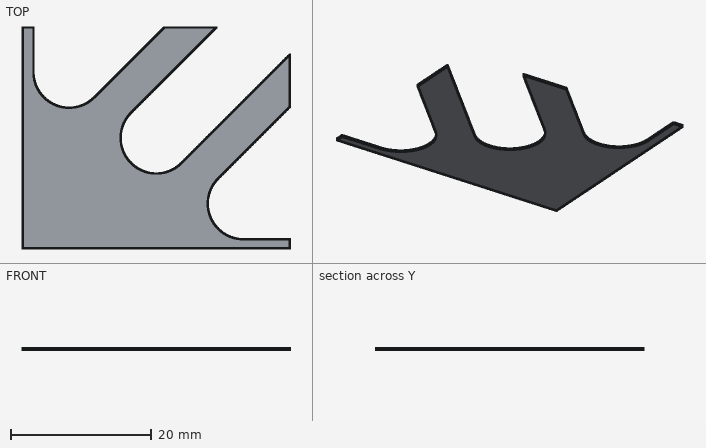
import cadquery as cq
import math

length = 38.1
width = 31.5
thickness = 0.25

opening_radius = 5.05
pitch_x = 12.42
pitch_y = 9.37
middle_center = (length / 2, width / 2)
upper_center = (middle_center[0] - pitch_x, middle_center[1] + pitch_y)
lower_center = (middle_center[0] + pitch_x, middle_center[1] - pitch_y)

along_x = 0
diagonal = 45
along_y = 90

reach = length + width


def shifted(point, distance, angle):
    """Move a point by a distance in the direction of an angle in degrees."""
    radians = math.radians(angle)
    return (point[0] + distance * math.cos(radians), point[1] + distance * math.sin(radians))


def opening(center, right_wall_angle, left_wall_angle):
    """Cutter with a round bottom and two tangent walls running outward."""
    right_start = shifted(center, opening_radius, right_wall_angle - 90)
    left_start = shifted(center, opening_radius, left_wall_angle + 90)
    middle_angle = (right_wall_angle + left_wall_angle) / 2
    bottom = shifted(center, opening_radius, middle_angle + 180)
    return (
        cq.Workplane("XY")
        .moveTo(*right_start)
        .lineTo(*shifted(right_start, reach, right_wall_angle))
        .lineTo(*shifted(left_start, reach, left_wall_angle))
        .lineTo(*left_start)
        .threePointArc(bottom, right_start)
        .close()
        .extrude(thickness)
    )


result = cq.Workplane("XY").box(length, width, thickness, centered=False)

result = result.cut(opening(upper_center, diagonal, along_y))
result = result.cut(opening(middle_center, diagonal, diagonal))
result = result.cut(opening(lower_center, along_x, diagonal))